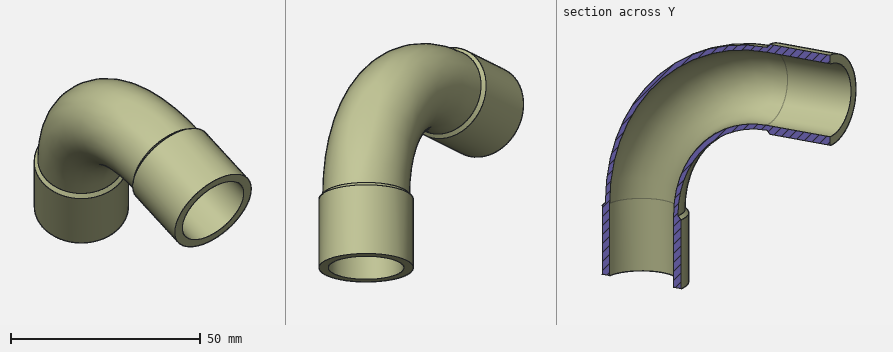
import cadquery as cq

overall_size = 72.0
socket_diameter = 25.0
pipe_diameter = 23.05
bore_diameter = 20.0
socket_length = 20.0

socket_chamfer = (socket_diameter - pipe_diameter) / 2
bend_radius = overall_size - socket_diameter / 2 - socket_length


def bend(diameter):
    """Quarter-circle round bar rising from the origin and turning toward +X."""
    return (
        cq.Workplane("XY")
        .circle(diameter / 2)
        .revolve(90, (bend_radius, 0, 0), (bend_radius, 1, 0))
    )


def straight_ends(diameter):
    """Round bars continuing both ends of the bend: down along -Z and out along +X."""
    lower = cq.Workplane("XY").circle(diameter / 2).extrude(-socket_length)
    upper = (
        cq.Workplane("YZ", origin=(bend_radius, 0, bend_radius))
        .circle(diameter / 2)
        .extrude(socket_length)
    )
    return lower, upper


lower_socket, upper_socket = straight_ends(socket_diameter)
lower_socket = lower_socket.faces(">Z").chamfer(socket_chamfer)
upper_socket = upper_socket.faces("<X").chamfer(socket_chamfer)

body = bend(pipe_diameter).union(lower_socket).union(upper_socket)

lower_bore, upper_bore = straight_ends(bore_diameter)
bore = bend(bore_diameter).union(lower_bore).union(upper_bore)

result = body.cut(bore)